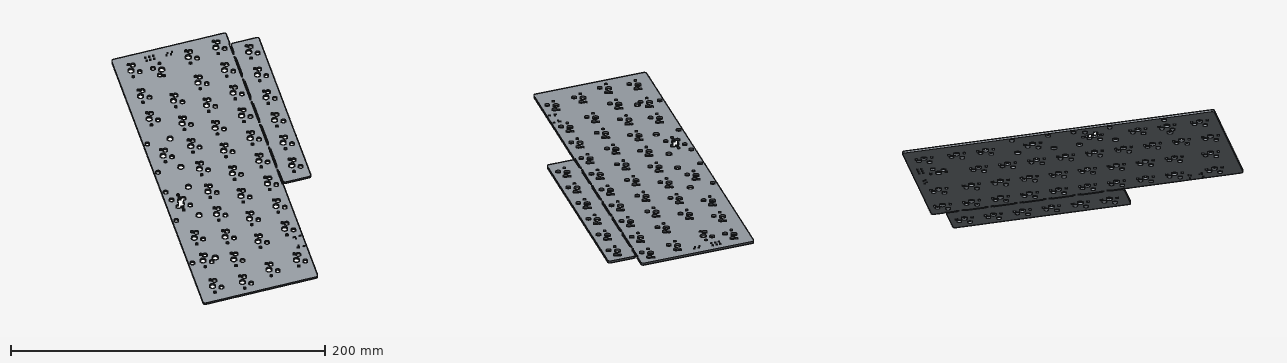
import cadquery as cq

LENGTH = 204.8
KEY = LENGTH / 10.75
THICKNESS = 1.6
CORNER_RADIUS = 1.5
MAIN_DEPTH = 4 * KEY

STRIP_LEFT = 9.5
STRIP_RIGHT = 126.2
STRIP_TOP = 5 * KEY
STRIP_KEYS = [1, 2, 3, 4, 5, 6]
GAP = 1.0
GAP_OVERRUN = 0.6
TAB_WIDTH = 5.3
BITE_DIAMETER = 0.78
BITE_OFFSETS = [-2.0, -1.2, 1.2, 2.0]
BITE_INSET = 0.3

ROW_KEYS = [
    [0.625, 1.75, 2.75, 4.375, 6.5, 8, 9, 10.125],
    [2.25 + i for i in range(9)],
    [0.625] + [1.75 + i for i in range(8)] + [10],
    [0.5 + i for i in range(9)] + [9.875],
    STRIP_KEYS,
]
TURNED_KEYS = [(0.875, 1.5), (6.375, 0.5)]

POST_DIAMETER = 3.9
PEG_DIAMETER = 1.75
PEG_OFFSET = 5.1
PIN_DIAMETER = 3.0
PIN_OFFSETS = [(-3.9, 2.5), (2.5, 5.1)]

STAB_KEYS = [4.375, 6.5]
LONG_STAB_KEY = 6.375
STAB_REAR_DIAMETER = 3.9
STAB_REAR_OFFSET = 8.2
STAB_FRONT_DIAMETER = 3.0
STAB_FRONT_OFFSET = -7.0
STAB_HALF_SPAN = 11.9
LONG_STAB_HALF_SPAN = 50.0
FRONT_ROW_Y = 0.5 * KEY

HEADER_CENTER = (5.7, 24.0)
HEADER_PITCH = 2.54
HEADER_DIAMETER = 1.0

STAGGER_HOLES = [(5.0, 39.0), (6.5, 37.7), (5.0, 35.8), (6.5, 34.8)]
STAGGER_DIAMETER = 0.75

USB_X = 174.5
USB_SHELL_OFFSET = 4.32
USB_REAR_SLOT_Y = 74.5
USB_REAR_SLOT_LENGTH = 1.2
USB_FRONT_SLOT_Y = 70.7
USB_FRONT_SLOT_LENGTH = 1.75
USB_SLOT_WIDTH = 0.6
USB_PEG_OFFSET = 2.89
USB_PEG_Y = 71.3
USB_PEG_DIAMETER = 0.65


def plate(left, right, front, back):
    """Full-thickness rectangular plate between the given X and Y limits."""
    size_x = right - left
    size_y = back - front
    slab = cq.Workplane("XY").box(size_x, size_y, THICKNESS, centered=False)
    return slab.translate((left, front, 0))


def drills(points, diameter):
    """Full-thickness cylinders at the given points."""
    return cq.Workplane("XY").pushPoints(points).circle(diameter / 2).extrude(THICKNESS)


def slot_cutters(points, length, width):
    """Full-thickness slots along Y with round ends."""
    return cq.Workplane("XY").pushPoints(points).slot2D(length, width, 90).extrude(THICKNESS)


def blank():
    """Main board and strip, held together by one tab in front of each strip key."""
    gap_front = MAIN_DEPTH - GAP / 2
    gap_back = MAIN_DEPTH + GAP / 2
    main = plate(0, LENGTH, 0, MAIN_DEPTH).edges("|Z").fillet(CORNER_RADIUS)
    main = main.cut(plate(STRIP_LEFT - GAP_OVERRUN, STRIP_RIGHT + GAP_OVERRUN, gap_front, gap_back))

    strip = plate(STRIP_LEFT, STRIP_RIGHT, gap_back, STRIP_TOP)
    strip = strip.edges("|Z").fillet(CORNER_RADIUS)

    board = main.union(strip)
    for column in STRIP_KEYS:
        tab_left = column * KEY - TAB_WIDTH / 2
        board = board.union(plate(tab_left, tab_left + TAB_WIDTH, gap_front, gap_back))
    return board


def bite_points():
    """Perforations that weaken each tab along the main board's edge."""
    y = MAIN_DEPTH - BITE_INSET
    return [(column * KEY + offset, y) for column in STRIP_KEYS for offset in BITE_OFFSETS]


def key_cutters(column, row, way):
    """All holes of the key centred at the given key units; way -1 turns it by half a turn."""
    x = column * KEY
    y = row * KEY
    pegs = [(x - PEG_OFFSET, y), (x + PEG_OFFSET, y)]
    pins = [(x + way * dx, y + way * dy) for dx, dy in PIN_OFFSETS]
    return [drills([(x, y)], POST_DIAMETER), drills(pegs, PEG_DIAMETER), drills(pins, PIN_DIAMETER)]


def cut_keys(board):
    keys = [(column, row + 0.5, 1) for row, columns in enumerate(ROW_KEYS) for column in columns]
    keys += [(column, row, -1) for column, row in TURNED_KEYS]
    for column, row, way in keys:
        for cutter in key_cutters(column, row, way):
            board = board.cut(cutter)
    return board


def cut_stabilizers(board):
    columns = [key * KEY + side * STAB_HALF_SPAN for key in STAB_KEYS for side in (-1, 1)]
    columns.append(LONG_STAB_KEY * KEY + LONG_STAB_HALF_SPAN)
    rear = [(x, FRONT_ROW_Y + STAB_REAR_OFFSET) for x in columns]
    front = [(x, FRONT_ROW_Y + STAB_FRONT_OFFSET) for x in columns]
    return board.cut(drills(rear, STAB_REAR_DIAMETER)).cut(drills(front, STAB_FRONT_DIAMETER))


def cut_header(board):
    pins = cq.Workplane("XY").center(*HEADER_CENTER).rarray(HEADER_PITCH, HEADER_PITCH, 2, 3)
    board = board.cut(pins.circle(HEADER_DIAMETER / 2).extrude(THICKNESS))
    return board.cut(drills(STAGGER_HOLES, STAGGER_DIAMETER))


def cut_usb(board):
    shell_columns = [USB_X - USB_SHELL_OFFSET, USB_X + USB_SHELL_OFFSET]
    rear = [(x, USB_REAR_SLOT_Y) for x in shell_columns]
    front = [(x, USB_FRONT_SLOT_Y) for x in shell_columns]
    pegs = [(USB_X + side * USB_PEG_OFFSET, USB_PEG_Y) for side in (-1, 1)]
    board = board.cut(slot_cutters(rear, USB_REAR_SLOT_LENGTH, USB_SLOT_WIDTH))
    board = board.cut(slot_cutters(front, USB_FRONT_SLOT_LENGTH, USB_SLOT_WIDTH))
    return board.cut(drills(pegs, USB_PEG_DIAMETER))


result = blank().cut(drills(bite_points(), BITE_DIAMETER))
result = cut_keys(result)
result = cut_stabilizers(result)
result = cut_header(result)
result = cut_usb(result)